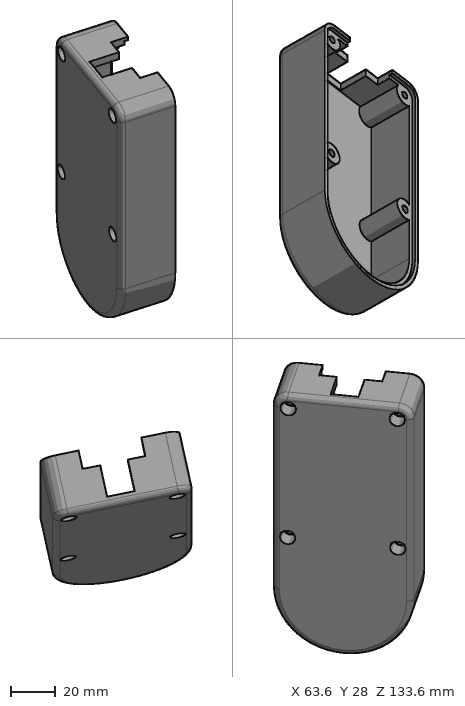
import cadquery as cq

WIDTH = 63.6
DEPTH = 28.0
HEIGHT = 133.6
BOTTOM_RADIUS = WIDTH / 2
CORNER_RADIUS = 6.7
FACE_FILLET = 3.0

WALL = 4.0
FLOOR = 4.0
RIM_WALL = 2.0
RIM_DEPTH = 1.7

WIDE_NOTCH_WIDTH = 28.6
WIDE_NOTCH_DEPTH = 8.7
NARROW_NOTCH_WIDTH = 12.5
NARROW_NOTCH_DEPTH = 23.5

POST_DIAMETER = 10.7
HEAD_DIAMETER = 7.0
HEAD_DEPTH = 8.0
SEAT_DIAMETER = 6.0
SEAT_DEPTH = 2.0
UPPER_HOLE_DIAMETER = 3.5
UPPER_HOLE_SPACING = 49.4
UPPER_HOLE_Z = 126.5
LOWER_HOLE_DIAMETER = 3.7
LOWER_HOLE_SPACING = 50.0
LOWER_HOLE_Z = 59.0


def tombstone(inset, start_y, end_y):
    """Solid with the box outline moved inwards by inset, from start_y to end_y."""
    half_width = WIDTH / 2 - inset
    corner = CORNER_RADIUS - inset
    return (
        cq.Workplane("XZ", origin=(0, start_y, 0))
        .moveTo(-half_width, BOTTOM_RADIUS)
        .threePointArc((0, inset), (half_width, BOTTOM_RADIUS))
        .lineTo(half_width, HEIGHT - inset)
        .lineTo(-half_width, HEIGHT - inset)
        .close()
        .extrude(start_y - end_y)
        .edges("|Y and >Z")
        .fillet(corner)
    )


def top_notch(width, depth):
    """Block that opens the top wall, measured down from the open rim."""
    return cq.Workplane("XY").box(width, depth, 2 * WALL).translate((0, DEPTH - depth / 2, HEIGHT))


def post(x, z):
    """Post that carries a screw hole, from the floor up to the rim step."""
    height = DEPTH - RIM_DEPTH - FLOOR
    return cq.Workplane("XZ", origin=(x, FLOOR, z)).circle(POST_DIAMETER / 2).extrude(-height)


def screw_hole(x, z, diameter):
    """Through hole along Y, with a straight recess and a narrower conical seat."""
    axis = cq.Vector(0, 1, 0)
    outer_end = cq.Vector(x, 0, z)
    seat_start = cq.Vector(x, HEAD_DEPTH, z)
    bore = cq.Solid.makeCylinder(diameter / 2, DEPTH, outer_end, axis)
    recess = cq.Solid.makeCylinder(HEAD_DIAMETER / 2, HEAD_DEPTH, outer_end, axis)
    seat = cq.Solid.makeCone(SEAT_DIAMETER / 2, diameter / 2, SEAT_DEPTH, seat_start, axis)
    return cq.Workplane(bore.fuse(recess, seat))


body = tombstone(0, 0, DEPTH).faces("<Y").edges().fillet(FACE_FILLET)
body = body.cut(tombstone(WALL, FLOOR, DEPTH))
body = body.cut(tombstone(RIM_WALL, DEPTH - RIM_DEPTH, DEPTH))

body = body.cut(top_notch(WIDE_NOTCH_WIDTH, WIDE_NOTCH_DEPTH))
body = body.cut(top_notch(NARROW_NOTCH_WIDTH, NARROW_NOTCH_DEPTH))

for side in (-1, 1):
    for spacing, z, diameter in (
        (UPPER_HOLE_SPACING, UPPER_HOLE_Z, UPPER_HOLE_DIAMETER),
        (LOWER_HOLE_SPACING, LOWER_HOLE_Z, LOWER_HOLE_DIAMETER),
    ):
        x = side * spacing / 2
        body = body.union(post(x, z)).cut(screw_hole(x, z, diameter))

result = body